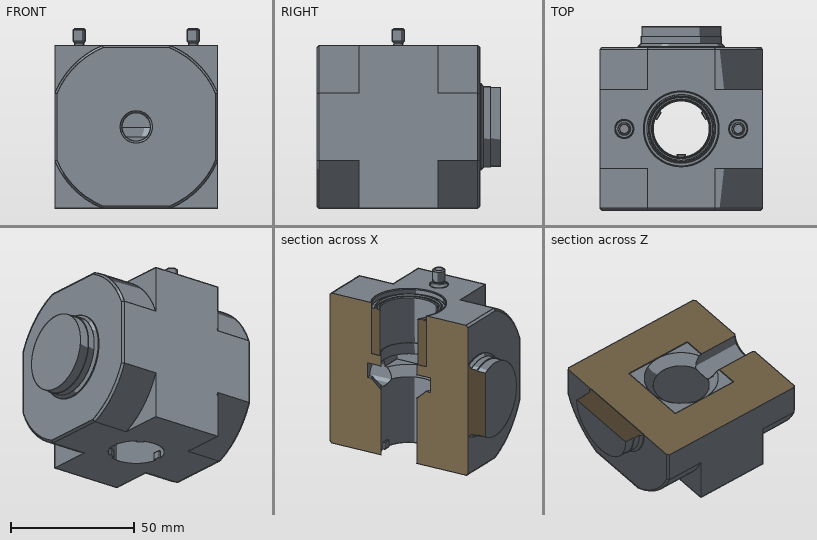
import cadquery as cq
import math

SIDE = 66.0
HALF = SIDE / 2
LOBE_DIAMETER = 71.5
BAND_WIDTH = 32.0
LOBE_CHAMFER = 0.9

PORT_DIAMETER = 11.5
PORT_CHAMFER = 0.8

BORE_DIAMETER = 22.7
CHAMBER_WIDTH = 30.0
CHAMBER_FLOOR = -0.2
CHAMBER_HEIGHT = 6.2
SEAT_DEPTH = 3.95

TAB_COUNT = 3
TAB_FIRST_ANGLE = 30
TAB_WIDTH = 3.3
TAB_HEIGHT = 3.0
TAB_TIP_RADIUS = 10.4
TAB_ROOT_DEPTH = 0.75

RECESS_DIAMETER = 30.0
RECESS_DEPTH = 22.3
RECESS_CHAMFER = 0.4
RING_DROP = 2.2
LIP_HEIGHT = 0.6
LIP_OUTER_FOOT = 27.85
LIP_OUTER_CREST = 26.7
LIP_INNER_CREST = 26.4
LIP_INNER_FOOT = 25.45
RING_MOUTH_DIAMETER = 24.1
RING_BORE_DIAMETER = 23.3

SPIGOT_LENGTH = 74.45 - SIDE
SPIGOT_TIP_DIAMETER = 32.0
SPIGOT_BODY_DIAMETER = 32.6
SPIGOT_FOOT_DIAMETER = 35.0
FOOT_END = 0.45
FLARE_END = 1.6
BODY_END = 4.4

PIN_OFFSET = 23.1
PIN_HEIGHT = 6.8
PIN_DIAMETER = 5.0
PIN_TIP_DIAMETER = 3.7
PIN_NECK_DIAMETER = 3.7
PIN_TIP_CHAMFER = 0.5
FOOT_FILLET = 0.9
NECK_TOP = 1.0
HEAD_BOTTOM = 1.8
COLLAR_DIAMETER = 7.0
COLLAR_DROP = 0.4
PIN_DEPTH = 4.5


def cylinder(diameter, bottom, top):
    """Vertical cylinder on the Z axis."""
    return cq.Workplane("XY").workplane(offset=bottom).circle(diameter / 2).extrude(top - bottom)


def turned(profile):
    """Solid turned about Z from (radius, height) points."""
    return cq.Workplane("XZ").polyline(profile).close().revolve(360, (0, 0), (0, 1))


def make_block():
    lobes = cq.Workplane("XY").box(SIDE, SIDE, SIDE)
    round_bar = cq.Workplane("XZ").circle(LOBE_DIAMETER / 2).extrude(HALF, both=True)
    lobes = lobes.intersect(round_bar).faces("<Y or >Y").chamfer(LOBE_CHAMFER)
    band = cq.Workplane("XY").box(SIDE, BAND_WIDTH, SIDE)
    return lobes.union(band)


def make_front_port():
    port = cq.Workplane("XZ").circle(PORT_DIAMETER / 2).extrude(HALF)
    mouth = cq.Workplane("XZ", origin=(0, -HALF, 0)).circle(PORT_DIAMETER / 2 + PORT_CHAMFER)
    return port.union(mouth.extrude(-PORT_CHAMFER, taper=45))


def make_bore():
    """List of the shapes that hollow out the housing along Z."""
    bore = cylinder(BORE_DIAMETER, -HALF, HALF)
    chamber = cq.Workplane("XY").workplane(offset=CHAMBER_FLOOR).rect(CHAMBER_WIDTH, CHAMBER_WIDTH)
    chamber = chamber.extrude(CHAMBER_HEIGHT)
    seat_bottom = CHAMBER_FLOOR - SEAT_DEPTH
    seat = turned([
        (0, CHAMBER_FLOOR),
        (CHAMBER_WIDTH / 2, CHAMBER_FLOOR),
        (BORE_DIAMETER / 2, seat_bottom),
        (0, seat_bottom),
    ])
    recess = cylinder(RECESS_DIAMETER, HALF - RECESS_DEPTH, HALF)
    mouth = make_mouth(RECESS_DIAMETER, RECESS_CHAMFER)
    return [bore, chamber, seat, recess, mouth]


def make_mouth(diameter, chamfer):
    """Conical lead-in for a hole in the top face."""
    radius = diameter / 2
    return turned([(0, HALF), (radius + chamfer, HALF), (radius, HALF - chamfer), (0, HALF - chamfer)])


def make_tabs():
    """Radial tabs reaching from the bore wall toward its axis."""
    root_radius = BORE_DIAMETER / 2 + TAB_ROOT_DEPTH
    length = root_radius - TAB_TIP_RADIUS
    tabs = []
    for index in range(TAB_COUNT):
        tab = cq.Workplane("XY").box(length, TAB_WIDTH, TAB_HEIGHT)
        tab = tab.translate(((TAB_TIP_RADIUS + root_radius) / 2, 0, -HALF + TAB_HEIGHT / 2))
        tabs.append(tab.rotate((0, 0, 0), (0, 0, 1), TAB_FIRST_ANGLE + index * 360 / TAB_COUNT))
    return tabs


def make_pin_hole(x):
    hole = cylinder(COLLAR_DIAMETER, HALF - PIN_DEPTH, HALF)
    return hole.union(make_mouth(COLLAR_DIAMETER, COLLAR_DROP)).translate((x, 0, 0))


def make_housing(pin_places):
    housing = make_block().cut(make_front_port())
    for hollow in make_bore():
        housing = housing.cut(hollow)
    for tab in make_tabs():
        housing = housing.union(tab)
    for x in pin_places:
        housing = housing.cut(make_pin_hole(x))
    return housing


def make_seal_ring():
    """Ring in the top recess, with a raised ridge on its shoulder."""
    bottom = HALF - RECESS_DEPTH
    shoulder = HALF - RING_DROP
    crest = shoulder + LIP_HEIGHT
    mouth_depth = (RING_MOUTH_DIAMETER - RING_BORE_DIAMETER) / 2
    return turned([
        (RING_BORE_DIAMETER / 2, bottom),
        (RECESS_DIAMETER / 2, bottom),
        (RECESS_DIAMETER / 2, shoulder),
        (LIP_OUTER_FOOT / 2, shoulder),
        (LIP_OUTER_CREST / 2, crest),
        (LIP_INNER_CREST / 2, crest),
        (LIP_INNER_FOOT / 2, shoulder),
        (RING_MOUTH_DIAMETER / 2, shoulder),
        (RING_BORE_DIAMETER / 2, shoulder - mouth_depth),
    ])


def make_spigot():
    """Stepped spigot turned about Z, then laid along +Y on the rear face."""
    spigot = turned([
        (0, 0),
        (SPIGOT_FOOT_DIAMETER / 2, 0),
        (SPIGOT_FOOT_DIAMETER / 2, FOOT_END),
        (SPIGOT_BODY_DIAMETER / 2, FLARE_END),
        (SPIGOT_BODY_DIAMETER / 2, BODY_END),
        (SPIGOT_TIP_DIAMETER / 2, BODY_END),
        (SPIGOT_TIP_DIAMETER / 2, SPIGOT_LENGTH),
        (0, SPIGOT_LENGTH),
    ])
    return spigot.rotate((0, 0, 0), (1, 0, 0), -90).translate((0, HALF, 0))


def make_pin(x):
    """Headed pin with a flared foot on a collar that fills its hole."""
    neck_radius = PIN_NECK_DIAMETER / 2
    neck_bottom = FOOT_FILLET - COLLAR_DROP
    fillet_middle = FOOT_FILLET * (1 - math.sqrt(0.5))
    profile = (
        cq.Workplane("XZ")
        .moveTo(0, -PIN_DEPTH)
        .lineTo(COLLAR_DIAMETER / 2, -PIN_DEPTH)
        .lineTo(COLLAR_DIAMETER / 2, -COLLAR_DROP)
        .lineTo(neck_radius + FOOT_FILLET, -COLLAR_DROP)
        .threePointArc(
            (neck_radius + fillet_middle, fillet_middle - COLLAR_DROP),
            (neck_radius, neck_bottom),
        )
        .lineTo(neck_radius, NECK_TOP)
        .lineTo(PIN_DIAMETER / 2, HEAD_BOTTOM)
        .lineTo(PIN_DIAMETER / 2, PIN_HEIGHT - PIN_TIP_CHAMFER)
        .lineTo(PIN_TIP_DIAMETER / 2, PIN_HEIGHT)
        .lineTo(0, PIN_HEIGHT)
        .close()
    )
    pin = profile.revolve(360, (0, 0), (0, 1))
    return pin.translate((x, 0, HALF))


pin_places = (-PIN_OFFSET, PIN_OFFSET)
housing = make_housing(pin_places)
seal_ring = make_seal_ring()
spigot = make_spigot()
pins = [make_pin(x).val() for x in pin_places]

result = cq.Compound.makeCompound([housing.val(), seal_ring.val(), spigot.val(), *pins])